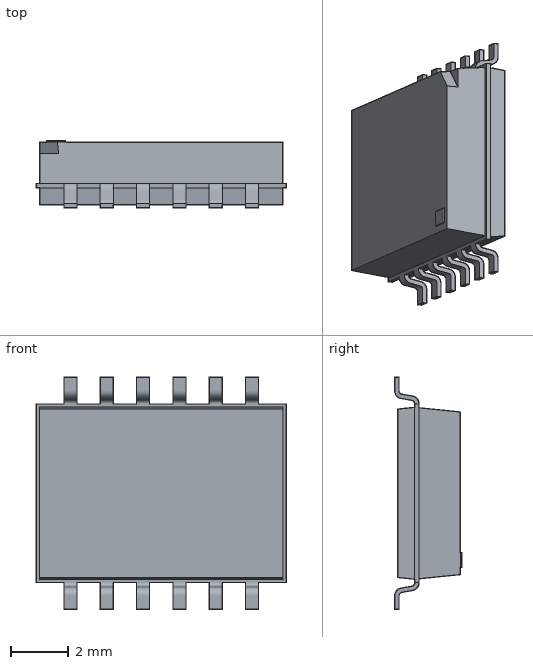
import cadquery as cq
import math

BAND_LENGTH = 8.75
BAND_HEIGHT = 6.25
SHEET = 0.16

BODY_LENGTH = 8.505
BODY_HEIGHT = 6.02
FRONT_FACE_HEIGHT = 5.9
BACK_FACE_HEIGHT = 5.7

BODY_FRONT_Y = 0.105
BAND_FRONT_Y = 0.7
BODY_BACK_Y = 2.3
BAND_BACK_Y = BAND_FRONT_Y + SHEET

CORNER_CUT = 0.62
CORNER_CUT_DEPTH = 0.4

MARK_LENGTH = 0.665
MARK_HEIGHT = 0.52
MARK_BACK_Y = 2.35
MARK_X = -3.675
MARK_Z = -2.34

LEAD_COUNT = 6
LEAD_PITCH = 1.27
LEAD_WIDTH = 0.46
LEAD_SPAN = 8.12
FOOT_LENGTH = 0.47
BEND_RADIUS = 0.2
BEND_ANGLE = math.radians(80)
LEAD_EMBED = 0.26


def block(length, height, y_front, y_back):
    """Box centred on X and Z between two depths."""
    return cq.Workplane("XY").box(length, y_back - y_front, height).translate((0, (y_front + y_back) / 2, 0))


def make_body():
    """Six-sided side profile swept along X, drafted towards the front and back faces."""
    profile = [
        (BODY_FRONT_Y, -FRONT_FACE_HEIGHT / 2),
        (BAND_FRONT_Y, -BODY_HEIGHT / 2),
        (BODY_BACK_Y, -BACK_FACE_HEIGHT / 2),
        (BODY_BACK_Y, BACK_FACE_HEIGHT / 2),
        (BAND_FRONT_Y, BODY_HEIGHT / 2),
        (BODY_FRONT_Y, FRONT_FACE_HEIGHT / 2),
    ]
    return cq.Workplane("YZ").polyline(profile).close().extrude(BODY_LENGTH / 2, both=True)


def make_corner_cutter():
    """Triangular prism with a 45 degree face, reaching past the drafted top face."""
    corner_x = -BODY_LENGTH / 2
    low_z = BACK_FACE_HEIGHT / 2 - CORNER_CUT
    high_z = BODY_HEIGHT / 2
    return (
        cq.Workplane("XZ", origin=(0, BODY_BACK_Y, 0))
        .polyline([(corner_x, low_z), (corner_x, high_z), (corner_x + high_z - low_z, high_z)])
        .close()
        .extrude(CORNER_CUT_DEPTH)
    )


def make_mark():
    return block(MARK_LENGTH, MARK_HEIGHT, BODY_BACK_Y, MARK_BACK_Y).translate((MARK_X, 0, MARK_Z))


def make_lead():
    """Upper lead: an S-shaped strip from the band to the foot, bent twice by the same angle."""
    foot_y = SHEET / 2
    root_y = BAND_FRONT_Y + SHEET / 2
    tip_z = LEAD_SPAN / 2
    foot_bend_z = tip_z - FOOT_LENGTH

    bend_drop = BEND_RADIUS * (1 - math.cos(BEND_ANGLE))
    bend_rise = BEND_RADIUS * math.sin(BEND_ANGLE)
    web_drop = root_y - foot_y - 2 * bend_drop
    web_rise = web_drop / math.tan(BEND_ANGLE)
    root_bend_z = foot_bend_z - 2 * bend_rise - web_rise
    root_z = BAND_HEIGHT / 2 - LEAD_EMBED

    centre_line = (
        cq.Workplane("YZ")
        .moveTo(root_y, root_z)
        .lineTo(root_y, root_bend_z)
        .tangentArcPoint((root_y - bend_drop, root_bend_z + bend_rise), relative=False)
        .lineTo(foot_y + bend_drop, foot_bend_z - bend_rise)
        .tangentArcPoint((foot_y, foot_bend_z), relative=False)
        .lineTo(foot_y, tip_z)
    )
    section = cq.Workplane("XY", origin=(0, root_y, root_z)).rect(LEAD_WIDTH, SHEET)
    return section.sweep(centre_line)


result = make_body().cut(make_corner_cutter())
result = result.union(block(BAND_LENGTH, BAND_HEIGHT, BAND_FRONT_Y, BAND_BACK_Y))
result = result.union(make_mark())

upper_lead = make_lead()
lower_lead = upper_lead.mirror("XY")
for index in range(LEAD_COUNT):
    lead_x = (index - (LEAD_COUNT - 1) / 2) * LEAD_PITCH
    for lead in (upper_lead, lower_lead):
        result = result.union(lead.translate((lead_x, 0, 0)))